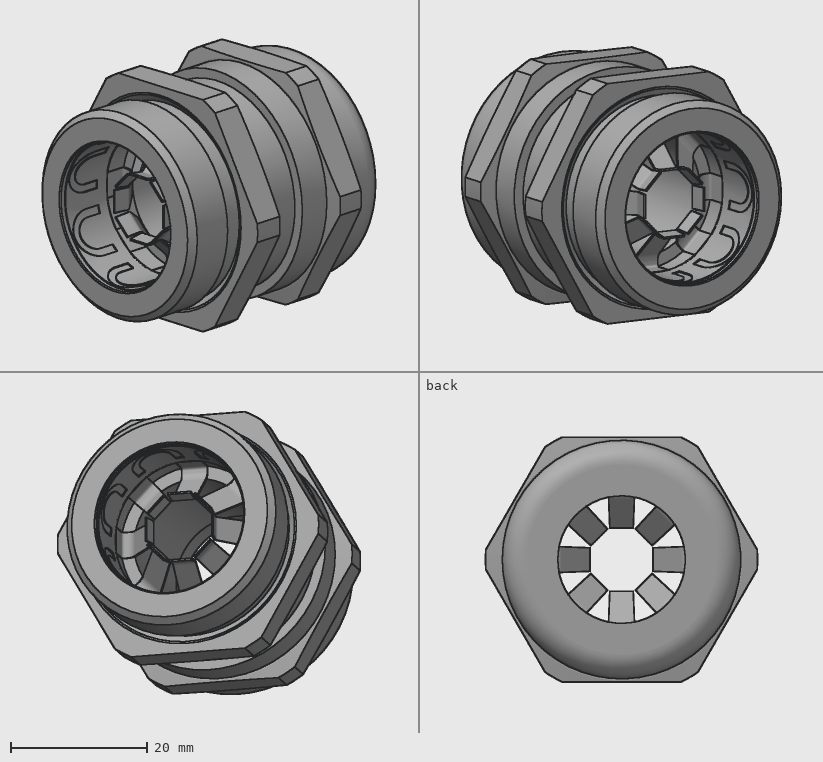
import cadquery as cq
import math


THREAD_END = 7.35
HOUSING_HEX_FRONT = 9.55
HEX_THICKNESS = 5.0
HOUSING_HEX_REAR = HOUSING_HEX_FRONT + HEX_THICKNESS
CAP_FRONT = 21.45
CAP_HEX_FRONT = 26.55
CAP_HEX_REAR = CAP_HEX_FRONT + HEX_THICKNESS
CAP_REAR = 38.9
CAP_WALL = 4.0
HOUSING_REAR = CAP_REAR - CAP_WALL

HOUSING_RADIUS = 16.0
THREAD_CHAMFER = 1.0
NECK_RADIUS = 15.2
CAP_RADIUS = 17.5
CAP_ROUNDING = 3.5

HEX_ACROSS_FLATS = 36.0
HEX_CORNER_RADIUS = 20.0
HEX_CONE_START_RADIUS = 17.8
HEX_CONE_DROP = 0.3

DISH_OUTER_RADIUS = 16.6
DISH_STEP_RADIUS = 16.3
DISH_STEP_DEPTH = 0.1
DISH_DEPTH = 1.05

BORE_RADIUS = 11.3
BORE_CHAMFER = 0.2
SEAL_FRONT = 13.15
CABLE_RADIUS = 9.35

SHEET = 0.15
SLEEVE_RADIUS = BORE_RADIUS - SHEET
SLEEVE_FRONT = 0.95
SLEEVE_REAR = 9.6
FINGER_COUNT = 8
SLOT_COUNT = 7
FIRST_SLOT_ANGLE = 45.0
SLOT_APEX = 1.3
SLOT_END = 7.6
SLOT_OUTER_RADIUS = 3.7
SLOT_WIDTH = 1.2

FINGER_SHEET = 0.3
FINGER_ROOT_WIDTH = 4.0
FINGER_TIP_WIDTH = 3.5
TIP_FRONT = 5.0
TIP_FRONT_RADIUS = 4.95
TIP_BEND = 7.6
TIP_BEND_RADIUS = 4.55
ROOT_BEND_RADIUS = 0.4
LEAN_BEND_RADIUS = 1.6
TIP_BEND_ROUNDING = 0.8


def revolve_profile(points):
    """Solid of revolution about Y from (radius, y) points."""
    return cq.Workplane("XY").polyline(points).close().revolve(360, (0, 0, 0), (0, 1, 0))


def cylinder(radius, y_start, y_end):
    return revolve_profile([(0, y_start), (radius, y_start), (radius, y_end), (0, y_end)])


def hexagon(y_front, y_rear, front_drop, rear_drop):
    """Hexagon with two flats square to Z, turned corners and coned faces."""
    prism = (
        cq.Workplane("XZ", origin=(0, y_front, 0))
        .polygon(6, HEX_ACROSS_FLATS, circumscribed=True)
        .extrude(y_front - y_rear)
        .rotate((0, 0, 0), (0, 1, 0), 30)
    )
    turned = [(0, y_front), (HEX_CONE_START_RADIUS, y_front), (HEX_CORNER_RADIUS, y_front + front_drop)]
    turned += [(HEX_CORNER_RADIUS, y_rear - rear_drop), (HEX_CONE_START_RADIUS, y_rear), (0, y_rear)]
    return prism.intersect(revolve_profile(turned))


def make_housing():
    thread = cylinder(HOUSING_RADIUS, 0, THREAD_END).faces("<Y").chamfer(THREAD_CHAMFER)
    neck = cylinder(NECK_RADIUS, THREAD_END, HOUSING_HEX_FRONT + DISH_DEPTH)
    dish = revolve_profile([
        (0, HOUSING_HEX_FRONT),
        (DISH_OUTER_RADIUS, HOUSING_HEX_FRONT),
        (DISH_STEP_RADIUS, HOUSING_HEX_FRONT + DISH_STEP_DEPTH),
        (NECK_RADIUS, HOUSING_HEX_FRONT + DISH_DEPTH),
        (0, HOUSING_HEX_FRONT + DISH_DEPTH),
    ])
    hexagon_ring = hexagon(HOUSING_HEX_FRONT, HOUSING_HEX_REAR, 0, HEX_CONE_DROP).cut(dish)
    barrel = cylinder(HOUSING_RADIUS, HOUSING_HEX_REAR, HOUSING_REAR)
    bore = cylinder(BORE_RADIUS, 0, HOUSING_REAR)
    lip = BORE_RADIUS + BORE_CHAMFER
    bore_chamfer = revolve_profile([(0, 0), (lip, 0), (BORE_RADIUS, BORE_CHAMFER), (0, BORE_CHAMFER)])
    return thread.union(neck).union(hexagon_ring).union(barrel).cut(bore).cut(bore_chamfer)


def make_cap():
    shell = cylinder(CAP_RADIUS, CAP_FRONT, CAP_REAR).faces(">Y").edges().fillet(CAP_ROUNDING)
    shell = shell.union(hexagon(CAP_HEX_FRONT, CAP_HEX_REAR, HEX_CONE_DROP, HEX_CONE_DROP))
    socket = cylinder(HOUSING_RADIUS, CAP_FRONT, HOUSING_REAR)
    return shell.cut(socket).cut(cylinder(CABLE_RADIUS, HOUSING_REAR, CAP_REAR))


def make_seal():
    return cylinder(BORE_RADIUS, SEAL_FRONT, HOUSING_REAR).cut(cylinder(CABLE_RADIUS, SEAL_FRONT, HOUSING_REAR))


def slot_tool():
    """U-shaped cutter through the sleeve wall on +X, open towards the rear."""
    def tongue(half_width):
        centre = SLOT_APEX + SLOT_OUTER_RADIUS
        return (
            cq.Workplane("YZ")
            .moveTo(SLOT_END, -half_width)
            .lineTo(centre, -half_width)
            .threePointArc((centre - half_width, 0), (centre, half_width))
            .lineTo(SLOT_END, half_width)
            .close()
            .extrude(BORE_RADIUS)
        )

    return tongue(SLOT_OUTER_RADIUS).cut(tongue(SLOT_OUTER_RADIUS - SLOT_WIDTH))


def offset_corners(corners, distance):
    """Corners of a polyline moved sideways, to the left of its direction, by a distance."""
    angles = [math.atan2(y1 - y0, x1 - x0) for (x0, y0), (x1, y1) in zip(corners, corners[1:])]
    moved = []
    for (x, y), before, after in zip(corners, angles[:1] + angles, angles + angles[-1:]):
        turn = math.remainder(after - before, 2 * math.pi)
        middle = before + turn / 2
        reach = distance / math.cos(turn / 2)
        moved.append((x - reach * math.sin(middle), y + reach * math.cos(middle)))
    return moved


def round_corners(strip, corners, radii):
    """Fillet the edges that run across the strip at the given corners."""
    for (x, y), radius in zip(corners, radii):
        strip = strip.edges(cq.NearestToPointSelector((x, y, 0))).fillet(radius)
    return strip


def finger():
    """Bent strip on +X: back along the bore, in along the seal, then forward to the tip."""
    back_face = [
        (BORE_RADIUS, SLEEVE_REAR),
        (BORE_RADIUS, SEAL_FRONT),
        (CABLE_RADIUS, SEAL_FRONT),
        (TIP_BEND_RADIUS, TIP_BEND),
        (TIP_FRONT_RADIUS, TIP_FRONT),
    ]
    front_face = offset_corners(back_face, FINGER_SHEET)
    strip = (
        cq.Workplane("XY")
        .polyline(back_face + front_face[::-1])
        .close()
        .extrude(FINGER_ROOT_WIDTH / 2, both=True)
    )
    bend_radii = [ROOT_BEND_RADIUS, LEAN_BEND_RADIUS, TIP_BEND_ROUNDING]
    strip = round_corners(strip, front_face[1:-1], bend_radii)
    strip = round_corners(strip, back_face[1:-1], [radius + FINGER_SHEET for radius in bend_radii])
    outline = [
        (TIP_BEND_RADIUS, -FINGER_TIP_WIDTH / 2),
        (BORE_RADIUS, -FINGER_ROOT_WIDTH / 2),
        (BORE_RADIUS, FINGER_ROOT_WIDTH / 2),
        (TIP_BEND_RADIUS, FINGER_TIP_WIDTH / 2),
    ]
    taper = cq.Workplane("XZ").polyline(outline).close().extrude(-CAP_REAR)
    return strip.intersect(taper).intersect(cylinder(BORE_RADIUS, 0, HOUSING_REAR))


def make_spring():
    """Sheet sleeve with evenly spaced U-shaped slots and evenly spaced fingers."""
    spring = cylinder(BORE_RADIUS, SLEEVE_FRONT, SLEEVE_REAR).cut(
        cylinder(SLEEVE_RADIUS, SLEEVE_FRONT, SLEEVE_REAR)
    )
    for number in range(SLOT_COUNT):
        angle = FIRST_SLOT_ANGLE + number * 360 / SLOT_COUNT
        spring = spring.cut(slot_tool().rotate((0, 0, 0), (0, 1, 0), angle))
    for number in range(FINGER_COUNT):
        angle = number * 360 / FINGER_COUNT
        spring = spring.union(finger().rotate((0, 0, 0), (0, 1, 0), angle))
    return spring


housing = make_housing()
cap = make_cap()
seal = make_seal()
spring = make_spring()

result = cq.Compound.makeCompound([housing.val(), cap.val(), seal.val(), spring.val()])